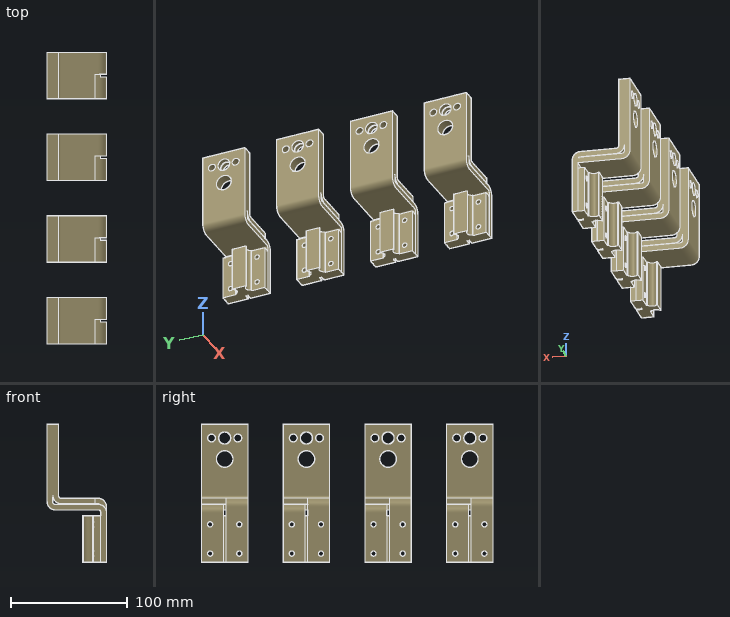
import cadquery as cq

bracket_count = 4
bracket_pitch = 70.0
bracket_width = 40.0

total_depth = 51.0
total_height = 118.5

sheet = 5.0
seam_gap = 0.2
shelf_top = 55.0
inner_bend = 2.0
outer_bend = 7.2
upright = 2 * sheet
leg_back = total_depth - sheet
upper_shelf_bottom = shelf_top - sheet
lower_shelf_top = upper_shelf_bottom - seam_gap
lower_shelf_bottom = lower_shelf_top - sheet

leg_slot = 2.0
half_width = bracket_width / 2
tongue_width = (bracket_width - leg_slot) / 2
upper_shelf_cut = 41.0

hole_row_drop = 12.0
hole_row_z = total_height - hole_row_drop
side_hole_offset = 11.2
side_hole_diameter = 6.5
middle_hole_front_diameter = 11.0
middle_hole_back_diameter = 10.0
middle_hole_step = sheet
lower_hole_drop = 30.0
lower_hole_z = total_height - lower_hole_drop
lower_hole_diameter = 14.0

block_height = 40.0
flange_thickness = 6.0
flange_width = 39.8
flange_x = leg_back - flange_thickness
rib_depth = 9.5
rib_face_width = 13.0
rib_root_width = 15.0
rib_edge = 0.8
root_step = 1.0
scallop_depth = 2.2
leg_hole_pitch = 25.0
leg_hole_diameter = 4.2


def extrude_profile(points, width):
    """Extrude an XZ outline symmetrically about the bracket's middle plane."""
    return cq.Workplane("XZ").polyline(points).close().extrude(width / 2, both=True)


def round_corner(solid, x, z, radius):
    """Round the Y-parallel edge that passes through (x, z)."""
    corner = cq.selectors.NearestToPointSelector((x, 0, z))
    return solid.edges("|Y").edges(corner).fillet(radius)


def bent_sheet(back_x, shelf_z):
    """Z-shaped sheet: upright from back_x, shelf topped at shelf_z, leg at the +X side."""
    front_x = back_x + sheet
    bottom_z = shelf_z - sheet
    outline = [
        (back_x, total_height),
        (front_x, total_height),
        (front_x, shelf_z),
        (total_depth, shelf_z),
        (total_depth, 0),
        (leg_back, 0),
        (leg_back, bottom_z),
        (back_x, bottom_z),
    ]
    body = extrude_profile(outline, bracket_width)
    body = round_corner(body, front_x, shelf_z, inner_bend)
    body = round_corner(body, back_x, bottom_z, outer_bend)
    body = round_corner(body, total_depth, shelf_z, outer_bend)
    return round_corner(body, leg_back, bottom_z, inner_bend)


def tongue_cutter(start_x, top_z, start_y, end_y):
    """Block that removes everything past start_x and below top_z between two Y positions."""
    length = total_depth - start_x
    cutter = cq.Workplane("XY").box(length, end_y - start_y, top_z, centered=False)
    return cutter.translate((start_x, start_y, 0))


def sheets():
    """Both sheets, each keeping its leg on one half of the width only."""
    slot_edge = half_width - tongue_width
    upper = bent_sheet(sheet, shelf_top)
    upper = upper.cut(tongue_cutter(upper_shelf_cut, shelf_top, -half_width, slot_edge))
    lower = bent_sheet(0, lower_shelf_top)
    lower = lower.cut(tongue_cutter(leg_back, shelf_top, -slot_edge, half_width))
    lower = lower.cut(tongue_cutter(leg_back - inner_bend, lower_shelf_bottom, -slot_edge, half_width))
    return upper.union(lower)


def x_hole(diameter, start_x, end_x, y, z):
    """Cylinder along X, used as a drill."""
    drill = cq.Workplane("YZ").circle(diameter / 2).extrude(end_x - start_x)
    return drill.translate((start_x, y, z))


def drill_upright(body):
    """Row of three holes with a stepped middle one, and a larger hole below."""
    for y in (-side_hole_offset, side_hole_offset):
        body = body.cut(x_hole(side_hole_diameter, 0, upright, y, hole_row_z))
    body = body.cut(x_hole(middle_hole_front_diameter, 0, middle_hole_step, 0, hole_row_z))
    body = body.cut(
        x_hole(middle_hole_back_diameter, middle_hole_step, upright, 0, hole_row_z)
    )
    return body.cut(x_hole(lower_hole_diameter, 0, upright, 0, lower_hole_z))


def clamp_block():
    """Flange with a central rib whose sides are hollowed by concave arcs."""
    rib_x = flange_x - rib_depth
    scallop_start = rib_x + rib_edge
    scallop_end = flange_x - root_step
    scallop_mid = (scallop_start + scallop_end) / 2
    face = rib_face_width / 2
    root = rib_root_width / 2
    flange_edge = flange_width / 2
    waist = face - scallop_depth
    return (
        cq.Workplane("XY")
        .moveTo(rib_x, -face)
        .lineTo(scallop_start, -face)
        .threePointArc((scallop_mid, -waist), (scallop_end, -root))
        .lineTo(flange_x, -root)
        .lineTo(flange_x, -flange_edge)
        .lineTo(leg_back, -flange_edge)
        .lineTo(leg_back, flange_edge)
        .lineTo(flange_x, flange_edge)
        .lineTo(flange_x, root)
        .lineTo(scallop_end, root)
        .threePointArc((scallop_mid, waist), (scallop_start, face))
        .lineTo(rib_x, face)
        .close()
        .extrude(block_height)
    )


def drill_legs(body):
    """Square pattern of four holes through the flange and legs."""
    offset = leg_hole_pitch / 2
    for y in (-offset, offset):
        for z in (block_height / 2 - offset, block_height / 2 + offset):
            body = body.cut(x_hole(leg_hole_diameter, flange_x, total_depth, y, z))
    return body


def make_bracket():
    body = drill_upright(sheets())
    return drill_legs(body.union(clamp_block()))


bracket = make_bracket()
first_y = -bracket_pitch * (bracket_count - 1) / 2
brackets = [
    bracket.translate((0, first_y + index * bracket_pitch, 0)).val()
    for index in range(bracket_count)
]

result = cq.Compound.makeCompound(brackets)